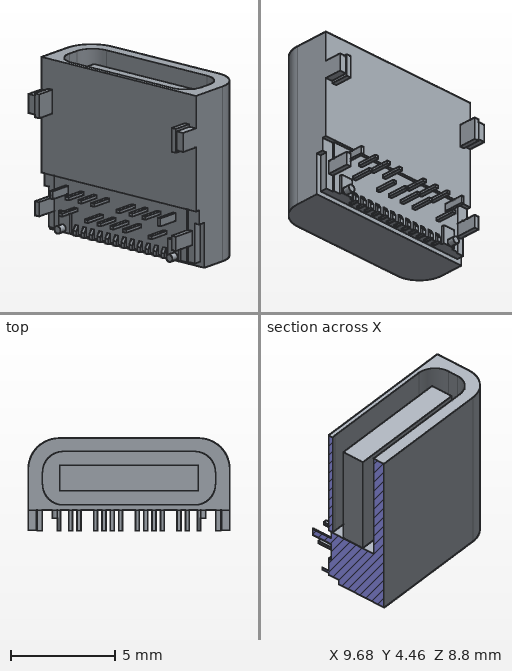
import cadquery as cq

SHELL_WIDTH = 9.68
SHELL_DEPTH = 3.46
SHELL_HEIGHT = 8.8
SHELL_CORNER_RADIUS = 1.5
PIN_TIP_Y = -1.0

CAVITY_WIDTH = 8.3
CAVITY_DEPTH = 2.57
CAVITY_CENTER_Y = 1.53
CAVITY_CORNER_RADIUS = 1.0
TONGUE_WIDTH = 6.66
TONGUE_DEPTH = 1.22
TONGUE_TOP_Z = SHELL_HEIGHT - 0.57

RELIEF_TOP_Z = 2.98
INSULATOR_FACE_Y = 0.145
INSULATOR_SIDE_FACE_Y = 0.23
INSULATOR_BOTTOM_Z = 0.26
INSULATOR_WIDTH = 9.16
RIM_FACE_Y = 0.62
RIM_STEP_TOP_Z = 2.27
CAVITY_FLOOR_Z = RELIEF_TOP_Z

PAD_WIDTH = 0.7
PAD_TOP_Z = 1.27
PAD_CENTER_X = 3.42
PEG_CENTER_X = 3.5
PEG_CENTER_Z = 0.46
PEG_RADIUS = 0.19
PEG_TIP_Y = -0.4

TAIL_COUNT = 12
TAIL_PITCH = 0.5
TAIL_WIDTH = 0.2
TAIL_BOTTOM_Z = 0.22
TAIL_SHOULDER_Z = 0.47
TAIL_TOP_Z = 0.72

PIN_WIDTH = 0.2
PIN_HEIGHT = 0.15
UPPER_PIN_Z = 2.41
UPPER_PIN_X = (0.8, 1.6, 2.4)
LOWER_PIN_Z = 1.51
LOWER_PIN_X = (0.4, 1.2, 2.8)
BLADE_X = 3.36
BLADE_WIDTH = 0.15
BLADE_Z = 2.39
BLADE_HEIGHT = 0.4

LEG_INNER_X = CAVITY_WIDTH / 2
LEG_OUTER_X = 4.41
LEG_GAP = 0.03
LOWER_LEG_Z = (1.15, 1.87)
UPPER_LEG_Z = (6.09, 7.29)
SIDE_LEG_Z = (6.21, 7.17)
SIDE_LEG_TIP_Y = -0.97

ROOT_OVERLAP = 0.3


def block(x_range, y_range, z_range):
    """Axis-aligned box between the given limits."""
    size = [high - low for low, high in (x_range, y_range, z_range)]
    corner = (x_range[0], y_range[0], z_range[0])
    return cq.Workplane("XY").box(*size, centered=False).translate(corner)


def centered_block(x, width, y_range, z_range):
    """Box centred on x."""
    return block((x - width / 2, x + width / 2), y_range, z_range)


def mirrored(shape):
    """The shape together with its mirror image across x = 0."""
    return shape.union(shape.mirror("YZ"))


def make_shell():
    """Solid shell with rounded back corners."""
    body = centered_block(0, SHELL_WIDTH, (0, SHELL_DEPTH), (0, SHELL_HEIGHT))
    return body.edges("|Z and >Y").fillet(SHELL_CORNER_RADIUS)


def make_cavity():
    """Volume removed from the top, leaving the tongue standing."""
    depth = SHELL_HEIGHT - CAVITY_FLOOR_Z
    center = (0, CAVITY_CENTER_Y, CAVITY_FLOOR_Z)
    opening = cq.Workplane("XY", origin=center).rect(CAVITY_WIDTH, CAVITY_DEPTH).extrude(depth)
    opening = opening.edges("|Z").fillet(CAVITY_CORNER_RADIUS)
    tongue_height = TONGUE_TOP_Z - CAVITY_FLOOR_Z
    tongue = cq.Workplane("XY", origin=center).rect(TONGUE_WIDTH, TONGUE_DEPTH).extrude(tongue_height)
    return opening.cut(tongue)


def make_relief():
    """Volume removed from the mounting face to form the stepped insulator face."""
    full_height = (0, RELIEF_TOP_Z)
    relief = centered_block(0, SHELL_WIDTH, (0, INSULATOR_FACE_Y), full_height)
    sides = block((LEG_INNER_X, SHELL_WIDTH / 2), (0, INSULATOR_SIDE_FACE_Y), full_height)
    rim = block((INSULATOR_WIDTH / 2, SHELL_WIDTH / 2), (0, RIM_FACE_Y), (0, RIM_STEP_TOP_Z))
    bottom = centered_block(0, SHELL_WIDTH, (0, RIM_FACE_Y), (0, INSULATOR_BOTTOM_Z))
    return relief.union(mirrored(sides.union(rim))).union(bottom)


def make_foot():
    """Raised pad with a locating peg."""
    pad = centered_block(
        PAD_CENTER_X,
        PAD_WIDTH,
        (0, INSULATOR_FACE_Y + ROOT_OVERLAP),
        (INSULATOR_BOTTOM_Z, PAD_TOP_Z),
    )
    peg_plane = cq.Workplane("XZ", origin=(PEG_CENTER_X, ROOT_OVERLAP, PEG_CENTER_Z))
    peg = peg_plane.circle(PEG_RADIUS).extrude(ROOT_OVERLAP - PEG_TIP_Y)
    return pad.union(peg)


def make_tail(x):
    """Solder tail: a sloped shoulder down to a flat front."""
    root_y = INSULATOR_FACE_Y + ROOT_OVERLAP
    outline = [
        (root_y, TAIL_BOTTOM_Z),
        (0, TAIL_BOTTOM_Z),
        (0, TAIL_SHOULDER_Z),
        (INSULATOR_FACE_Y, TAIL_TOP_Z),
        (root_y, TAIL_TOP_Z),
    ]
    plane = cq.Workplane("YZ", origin=(x - TAIL_WIDTH / 2, 0, 0))
    return plane.polyline(outline).close().extrude(TAIL_WIDTH)


def make_pin(x, z, width, height):
    """Straight rectangular pin through the board."""
    y_range = (PIN_TIP_Y, INSULATOR_FACE_Y + ROOT_OVERLAP)
    return centered_block(x, width, y_range, (z - height / 2, z + height / 2))


def make_legs():
    """Mounting legs on the +X side."""
    leg_x = (LEG_INNER_X, LEG_OUTER_X)
    lower = block(leg_x, (PIN_TIP_Y, INSULATOR_SIDE_FACE_Y + ROOT_OVERLAP), LOWER_LEG_Z)
    upper = block(leg_x, (PIN_TIP_Y, 0), UPPER_LEG_Z)
    side = block((LEG_OUTER_X + LEG_GAP, SHELL_WIDTH / 2), (SIDE_LEG_TIP_Y, 0), SIDE_LEG_Z)
    return [lower, upper, side]


result = make_shell().cut(make_cavity()).cut(make_relief())

result = result.union(mirrored(make_foot()))

for index in range(TAIL_COUNT):
    result = result.union(make_tail((index - (TAIL_COUNT - 1) / 2) * TAIL_PITCH))

pins = [make_pin(x, UPPER_PIN_Z, PIN_WIDTH, PIN_HEIGHT) for x in UPPER_PIN_X]
pins += [make_pin(x, LOWER_PIN_Z, PIN_WIDTH, PIN_HEIGHT) for x in LOWER_PIN_X]
pins.append(make_pin(BLADE_X, BLADE_Z, BLADE_WIDTH, BLADE_HEIGHT))
for feature in pins + make_legs():
    result = result.union(mirrored(feature))